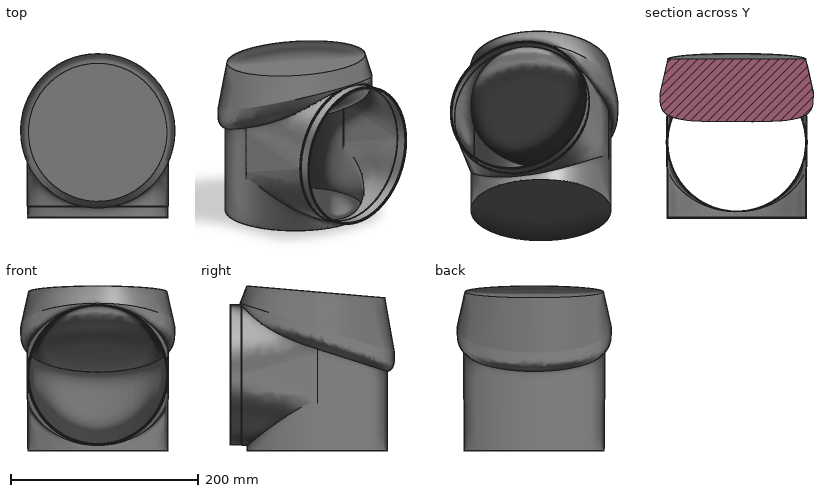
import cadquery as cq
import math

wall = 1.4
tube_radius = 74.9
tube_top = 158.6
trim_size = 352.5

port_height = 81.3
port_end = 93.2
collar_start = 80.4
collar_radius = 74.9
bead_radius = 75.3
bead_width = 1.0
branch_half_width = 75.5
branch_root_corner = 52.9
branch_flat = 0.4

rim_radius = 82.5
rim_height = 131.3
rim_tilt = math.atan(0.32)
cap_radius = 74.0
cap_offset = -1.5
cap_height = 169.9
cap_tilt = math.radians(4.9)
bulge_depth = 30.0
bulge_power = 4
bulge_fractions = (0, 0.4, 0.7, 0.85, 0.95, 0.99, 0.999, 0.9999)


def tilted_plane(y, z, tilt):
    """Plane that falls towards +Y by the given angle."""
    return cq.Plane(origin=(0, y, z), xDir=(1, 0, 0), normal=(0, math.sin(tilt), math.cos(tilt)))


def port_disc(radius, start, end):
    """Cylinder on the port axis between two distances from the tube axis."""
    plane = cq.Plane(origin=(0, -start, port_height), xDir=(1, 0, 0), normal=(0, -1, 0))
    return cq.Workplane(plane).circle(radius).extrude(end - start)


def make_branch(inset):
    """Branch from a rounded square on the tube axis to a near circle at the collar, reduced by inset."""
    half_width = branch_half_width - inset
    wires = []
    for distance, corner in (
        (0, branch_root_corner - inset),
        (collar_start, half_width - branch_flat),
    ):
        plane = cq.Plane(origin=(0, -distance, port_height), xDir=(1, 0, 0), normal=(0, -1, 0))
        sketch = cq.Sketch().rect(2 * half_width, 2 * half_width).vertices().fillet(corner)
        wires.append(cq.Workplane(plane).placeSketch(sketch).extrude(wall).faces(">Y").wires().val())
    return cq.Workplane(obj=cq.Solid.makeLoft(wires, True))


def tilted_outline(drop, radius):
    """Ellipse parallel to the rim, below it by drop, that is a circle when seen along Z."""
    outline = cq.Workplane(tilted_plane(0, rim_height - drop, rim_tilt))
    return outline.ellipse(radius, radius / math.cos(rim_tilt)).wire().val()


def make_bulge():
    """Shallow bowl lofted down from the sloping rim; its radii follow a superellipse."""
    outlines = []
    for fraction in bulge_fractions:
        radius = rim_radius * (1 - fraction**bulge_power) ** (1 / bulge_power)
        outlines.append(tilted_outline(bulge_depth * fraction, radius))
    return cq.Workplane(obj=cq.Solid.makeLoft(outlines))


def make_cap():
    """Tapered cap from the sloping rim up to a flat, slightly tilted circle."""
    rim = tilted_outline(0, rim_radius)
    top = cq.Workplane(tilted_plane(cap_offset, cap_height, cap_tilt)).circle(cap_radius).wire().val()
    return cq.Workplane(obj=cq.Solid.makeLoft([rim, top], True))


def make_collar(inset):
    """Port collar with a narrow bead at each end, reduced by inset."""
    collar = port_disc(collar_radius - inset, collar_start, port_end)
    for start in (collar_start, port_end - bead_width):
        collar = collar.union(port_disc(bead_radius - inset, start, start + bead_width))
    return collar


def make_tube(inset):
    """Upright tube body standing on the base, reduced by inset at the side and bottom."""
    base = cq.Workplane("XY").workplane(offset=inset)
    return base.circle(tube_radius - inset).extrude(tube_top - inset)


below_rim = cq.Workplane(tilted_plane(0, rim_height, rim_tilt)).rect(trim_size, trim_size).extrude(-trim_size)
shell = make_tube(0).union(make_branch(0)).intersect(below_rim).union(make_collar(0))
for space in (make_tube(wall), make_branch(wall), make_collar(wall)):
    shell = shell.cut(space)
result = shell.union(make_cap()).union(make_bulge())